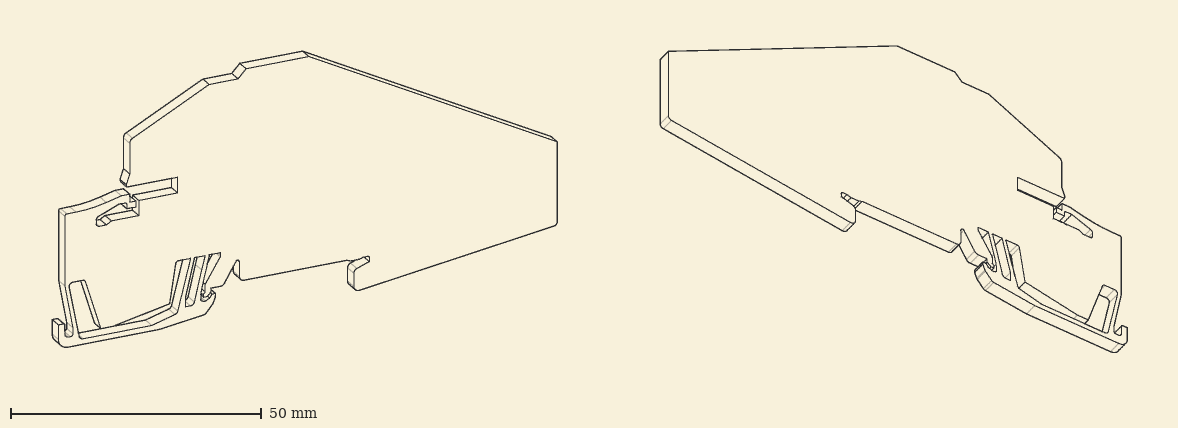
import cadquery as cq
import math

LENGTH = 110.2
HEIGHT = 53.4
THICKNESS = 3.0

REAR_TOP = 24.1
SHOULDER_HEIGHT = 51.5
NOSE = 94.5

SLOT_TOP = 32.5
SLOT_BOTTOM = 29.1
SLOT_END = 83.9
POCKET_WALL = 92.5
POCKET_FLOOR = 25.8
POCKET_END = 101.9
POCKET_LOW_FLOOR = 25.1
LATCH_GAP = 0.7
LATCH_TIP = POCKET_WALL + LATCH_GAP
LATCH_TIP_FRONT = LATCH_TIP + 2.0
LATCH_TIP_BOTTOM = SLOT_BOTTOM - 1.3
LATCH_TOP = 30.9

FRONT_WALL = 108.8
WALL_TOP = 29.2
FRONT_WALL_END = 13.6
FOOT_FLOOR = 1.2
LIP_TOP = 5.3
LIP_THICKNESS = 1.4
LIP_GROOVE_FLOOR = 2.2
LIP_GROOVE_FRONT = LENGTH - LIP_THICKNESS
LIP_GROOVE_BACK = 107.0
FOOT_HEEL = 75.5
HEEL_TOP = 5.5

WINDOW_TOP = 14.2
STRUT_TOP = 14.0
BLOCK_BOTTOM = 2.6
WINDOW_REAR = 74.4
FINGER_REAR = 76.5
FINGER_FRONT = 77.8
FINGER_TIP = 5.2
LEAF_BOTTOM = 3.9
LEAF_FRONT = 82.1
RAIL_SEAT = 7.2
SEAT_PAD = 6.8
SEAT_FRONT = 70.2
RAIL_HOOK_ROOT = 41.6
RAIL_HOOK_FACE = 45.0


def corner_arc(before, corner, after, radius):
    """Start, middle and end of the arc that rounds a corner with a radius."""
    to_before = (before - corner).normalized()
    to_after = (after - corner).normalized()
    half_angle = to_before.getAngle(to_after) / 2
    setback = radius / math.tan(half_angle)
    bisector = (to_before + to_after).normalized()
    middle_distance = radius / math.sin(half_angle) - radius
    return (
        corner + to_before * setback,
        corner + bisector * middle_distance,
        corner + to_after * setback,
    )


def plate(points):
    """Extrude a closed profile symmetrically about the plate's mid-plane."""
    corners = [cq.Vector(LENGTH / 2 - point[0], point[1]) for point in points]
    radii = [point[2] if len(point) > 2 else 0 for point in points]
    profile = cq.Workplane("YZ").moveTo(corners[0].x, corners[0].y)
    for i in range(1, len(corners)):
        if radii[i]:
            following = corners[(i + 1) % len(corners)]
            start, middle, end = corner_arc(corners[i - 1], corners[i], following, radii[i])
            profile = profile.lineTo(start.x, start.y)
            profile = profile.threePointArc((middle.x, middle.y), (end.x, end.y))
        else:
            profile = profile.lineTo(corners[i].x, corners[i].y)
    return profile.close().extrude(THICKNESS / 2, both=True)


upper_contour = [
    (0, REAR_TOP),
    (54.9, HEIGHT),
    (68.8, HEIGHT),
    (70.5, SHOULDER_HEIGHT),
    (77.0, SHOULDER_HEIGHT),
    (NOSE, 42.7, 1.1),
    (NOSE, 35.3),
    (95.2, 33.1),
    (95.1, SLOT_TOP),
]

slot_and_pocket = [
    (SLOT_END, SLOT_TOP),
    (SLOT_END, SLOT_BOTTOM),
    (POCKET_WALL, SLOT_BOTTOM),
    (POCKET_WALL, POCKET_FLOOR),
    (98.5, POCKET_FLOOR),
    (99.7, POCKET_LOW_FLOOR),
    (POCKET_END, POCKET_LOW_FLOOR, 0.7),
    (POCKET_END, 27.1, 0.8),
]

latch_arm = [
    (96.9, SLOT_BOTTOM),
    (LATCH_TIP_FRONT, SLOT_BOTTOM, 0.3),
    (LATCH_TIP_FRONT, LATCH_TIP_BOTTOM),
    (LATCH_TIP, LATCH_TIP_BOTTOM),
    (LATCH_TIP, SLOT_BOTTOM),
    (NOSE, SLOT_BOTTOM),
    (NOSE, LATCH_TOP),
    (96.3, LATCH_TOP),
]

front_wall_and_lip = [
    (103.0, WALL_TOP, 27.6),
    (FRONT_WALL, WALL_TOP, 0.4),
    (FRONT_WALL, FRONT_WALL_END),
    (LIP_GROOVE_BACK, 4.1),
    (LIP_GROOVE_BACK, LIP_GROOVE_FLOOR, 0.5),
    (LIP_GROOVE_FRONT, LIP_GROOVE_FLOOR, 0.8),
    (LIP_GROOVE_FRONT, LIP_TOP, 0.3),
    (LENGTH, LIP_TOP),
    (LENGTH, 0, 2.1),
]

foot_underside = [
    (88.0, 0),
    (77.8, 1.3, 0.8),
    (76.1, 3.4, 0.8),
    (FOOT_HEEL, 4.9),
    (FOOT_HEEL, HEEL_TOP),
]

spring_slit = [
    (76.3, HEEL_TOP),
    (76.8, 4.7),
    (77.9, 4.2, 0.4),
    (78.8, 4.5, 0.4),
    (78.7, 6.5),
    (78.2, 8.9),
    (76.8, WINDOW_TOP),
    (WINDOW_REAR, WINDOW_TOP),
    (WINDOW_REAR, 13.5, 0.5),
    (FINGER_FRONT, 7.9),
    (FINGER_FRONT, 6.3),
    (78.3, 5.7),
    (78.2, FINGER_TIP),
    (77.5, FINGER_TIP),
    (FINGER_REAR, 6.0),
    (FINGER_REAR, SEAT_PAD),
]

rail_seat = [
    (73.9, SEAT_PAD, 1.1),
    (70.7, 12.2, 0.3),
    (SEAT_FRONT, 11.4),
    (SEAT_FRONT, RAIL_SEAT, 1.0),
    (46.5, RAIL_SEAT),
    (45.7, SEAT_PAD),
    (43.9, SEAT_PAD),
    (42.9, RAIL_SEAT),
    (RAIL_HOOK_ROOT, RAIL_SEAT, 0.3),
]

rail_hook = [
    (RAIL_HOOK_ROOT, 6.0),
    (RAIL_HOOK_FACE, 4.7, 1.0),
    (RAIL_HOOK_FACE, -0.1, 1.1),
    (0, 6.0, 0.9),
]

leaf_window = [
    (77.8, WINDOW_TOP),
    (78.6, 11.2),
    (80.4, LEAF_BOTTOM, 0.9),
    (LEAF_FRONT, LEAF_BOTTOM),
    (LEAF_FRONT, 6.0),
    (80.1, WINDOW_TOP),
]

foot_window = [
    (81.0, WINDOW_TOP),
    (84.0, 2.8, 0.9),
    (89.6, FOOT_FLOOR),
    (105.5, FOOT_FLOOR, 0.9),
    (108.0, STRUT_TOP, 0.8),
    (104.4, STRUT_TOP, 0.7),
    (100.9, BLOCK_BOTTOM),
    (98.2, BLOCK_BOTTOM),
    (85.7, 5.2),
    (84.2, WINDOW_TOP, 0.5),
]

housing = plate(
    upper_contour
    + slot_and_pocket
    + latch_arm
    + front_wall_and_lip
    + foot_underside
    + spring_slit
    + rail_seat
    + rail_hook
)

result = housing.cut(plate(leaf_window)).cut(plate(foot_window))